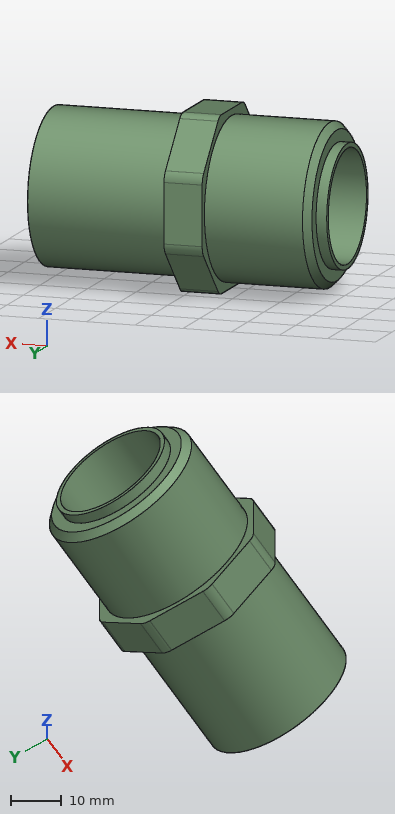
import cadquery as cq
import math

total_length = 61.0
lip_length = 2.2
collar_start = 24.05
collar_width = 7.9

bore_diameter = 23.3
lip_diameter = 25.25
body_diameter = 33.25
pipe_diameter = 32.0
body_chamfer = 1.45

collar_sides = 8
across_flats = 36.0
corner_radius = 3.05


def cylinder(diameter, start, end):
    """Round bar along X between two axial positions."""
    return cq.Workplane("YZ", origin=(start, 0, 0)).circle(diameter / 2).extrude(end - start)


def wrench_collar():
    """Octagonal prism with flats square to Y and Z and rounded corners."""
    half_angle = math.pi / collar_sides
    across_corners = across_flats / math.cos(half_angle)
    return (
        cq.Workplane("YZ", origin=(collar_start, 0, 0))
        .transformed(rotate=(0, 0, math.degrees(half_angle)))
        .polygon(collar_sides, across_corners)
        .extrude(collar_width)
        .edges("|X")
        .fillet(corner_radius)
    )


lip = cylinder(lip_diameter, 0, lip_length)
body = cylinder(body_diameter, lip_length, collar_start).faces("<X").chamfer(body_chamfer)
pipe = cylinder(pipe_diameter, collar_start, total_length)
bore = cylinder(bore_diameter, 0, total_length)

result = lip.union(body).union(wrench_collar()).union(pipe).cut(bore)